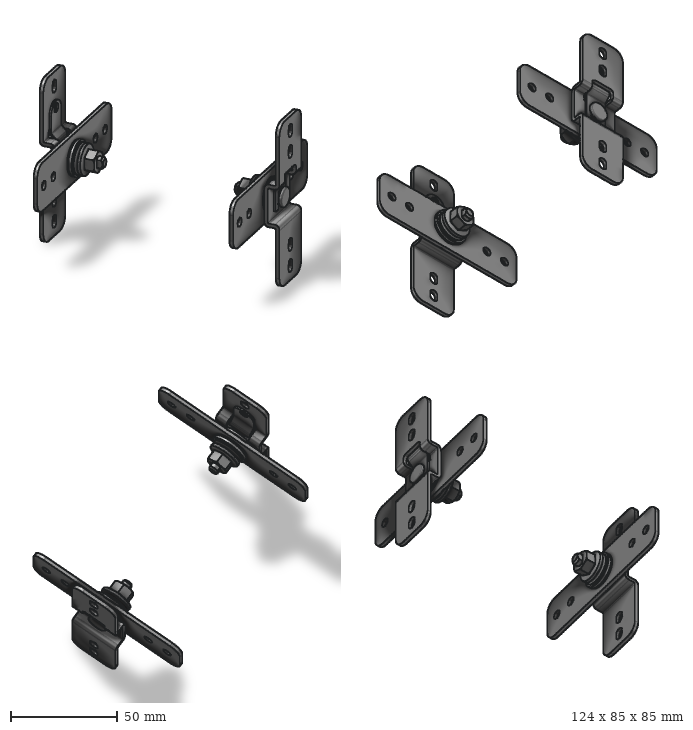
import cadquery as cq
import math

overall_length = 124.0
strip_length = 85.0
strip_width = 25.0
sheet = 2.0
corner_radius = 6.0
hole_diameter = 4.5
hole_positions = (-35.0, -24.0, 24.0, 35.0)

hat_depth = 7.9
hat_half_height = 11.0
outer_bend_radius = 2.5
inner_bend_radius = outer_bend_radius - sheet
bracket_slot_length = 6.5
window_width = 13.0
window_top = 15.1
window_shoulder = 6.1
window_corner_radius = 2.0
window_funnel_angle = math.radians(30)
web_inner_x = hat_depth - sheet

clip_sheet = 1.0
clip_width = 11.5
clip_arc_center_z = 22.0
clip_bottom = -5.8
clip_bend_z = 12.5
clip_foot_radius = 0.6
clip_inner_bend_radius = 0.5
clip_outer_bend_radius = clip_inner_bend_radius + clip_sheet
clip_web_x = web_inner_x - clip_sheet
clip_slope = math.radians(45)
clip_low_bend_z = clip_bend_z - (clip_web_x - sheet) / math.tan(clip_slope)

shank_radius = 3.0
head_radius = 5.0
head_start_x = 2.4
head_thickness = 1.6
head_fillet = 0.4
neck_radius = 4.0
tip_x = 28.0
tip_width = 4.3
tip_chamfer = 1.0

disc_radius = 9.0
pad_radius = 8.7
collar_width = 17.0
collar_x = 10.0
rear_disc_end_x = 9.3
plate_x = 10.4
front_pad_end_x = 13.1
front_disc_end_x = 14.9

washer_radius = 7.9
washer_edge_radius = 7.8
washer_root_radius = 5.1
washer_dish = 0.7
washer_rear_rim_end_x = 15.6
washer_front_rim_start_x = 17.2
nut_x = 19.6
nut_length = 5.2
nut_across_flats = 10.0
nut_chamfer = 0.56


def disc(radius, start_x, end_x):
    """Cylinder on the bolt axis between two X positions."""
    return cq.Workplane("YZ", origin=(start_x, 0, 0)).circle(radius).extrude(end_x - start_x)


def extrude_across(points, width):
    """Prism with an XZ outline, centred on Y = 0."""
    return cq.Workplane("XZ").polyline(points).close().extrude(width / 2, both=True)


def fillet_bends(body, points, radius):
    """Round the Y-direction edges that pass nearest to the given XZ points."""
    for x, z in points:
        body = body.edges("|Y").edges(cq.NearestToPointSelector((x, 0, z))).fillet(radius)
    return body


def make_bracket():
    """Hat-section strip with rounded ends, slotted legs and a clip window."""
    end_z = strip_length / 2
    inner_z = hat_half_height - sheet
    upper = [
        (0, end_z),
        (sheet, end_z),
        (sheet, hat_half_height),
        (hat_depth, hat_half_height),
    ]
    lower = [(x, -z) for x, z in reversed(upper)]
    inside = [(0, -inner_z), (web_inner_x, -inner_z), (web_inner_x, inner_z), (0, inner_z)]
    bracket = extrude_across(upper + lower + inside, strip_width)

    for side in (-1, 1):
        outer_bends = [(0, side * inner_z), (hat_depth, side * hat_half_height)]
        inner_bends = [(sheet, side * hat_half_height), (web_inner_x, side * inner_z)]
        bracket = fillet_bends(bracket, outer_bends, outer_bend_radius)
        bracket = fillet_bends(bracket, inner_bends, inner_bend_radius)
    bracket = bracket.edges("|X").edges("<Z or >Z").fillet(corner_radius)

    slots = (
        cq.Workplane("YZ")
        .pushPoints([(0, z) for z in hole_positions])
        .slot2D(bracket_slot_length, hole_diameter, 90)
        .extrude(sheet)
    )
    return bracket.cut(slots).cut(make_window())


def make_window():
    """Opening for the clip, narrowing through a funnel to a slot that seats the shank."""
    half_width = window_width / 2
    throat_z = window_shoulder - (half_width - shank_radius) * math.tan(window_funnel_angle)
    window = (
        cq.Workplane("YZ")
        .moveTo(-half_width, window_top)
        .lineTo(half_width, window_top)
        .lineTo(half_width, window_shoulder)
        .lineTo(shank_radius, throat_z)
        .lineTo(shank_radius, 0)
        .threePointArc((0, -shank_radius), (-shank_radius, 0))
        .lineTo(-shank_radius, throat_z)
        .lineTo(-half_width, window_shoulder)
        .close()
        .extrude(hat_depth)
    )
    return window.edges("|X and >Z").fillet(window_corner_radius)


def make_cross_plate():
    """Flat strip along Y with two round holes on each side of the bolt hole."""
    plate = (
        cq.Workplane("YZ", origin=(plate_x, 0, 0))
        .rect(strip_length, strip_width)
        .extrude(sheet)
        .edges("|X")
        .fillet(corner_radius)
    )
    return (
        plate.faces("<X")
        .workplane(origin=(plate_x, 0, 0))
        .pushPoints([(y, 0) for y in hole_positions])
        .hole(hole_diameter)
        .cut(disc(shank_radius, plate_x, plate_x + sheet))
    )


def make_clip():
    """Sheet clip: flat on the upper leg, sloped through the window, flat on the web."""
    bend_rise = clip_sheet * math.tan(clip_slope / 2)
    half_width = clip_width / 2
    top_z = clip_arc_center_z + half_width
    clip = extrude_across(
        [
            (sheet, top_z),
            (sheet + clip_sheet, top_z),
            (sheet + clip_sheet, clip_bend_z + bend_rise),
            (web_inner_x, clip_low_bend_z + bend_rise),
            (web_inner_x, clip_bottom),
            (clip_web_x, clip_bottom),
            (clip_web_x, clip_low_bend_z),
            (sheet, clip_bend_z),
        ],
        clip_width,
    )
    inner_bends = [(sheet + clip_sheet, clip_bend_z + bend_rise), (clip_web_x, clip_low_bend_z)]
    outer_bends = [(sheet, clip_bend_z), (web_inner_x, clip_low_bend_z + bend_rise)]
    clip = fillet_bends(clip, inner_bends, clip_inner_bend_radius)
    clip = fillet_bends(clip, outer_bends, clip_outer_bend_radius)

    round_top = (
        cq.Workplane("YZ")
        .moveTo(-half_width, clip_bottom)
        .lineTo(-half_width, clip_arc_center_z)
        .threePointArc((0, top_z), (half_width, clip_arc_center_z))
        .lineTo(half_width, clip_bottom)
        .close()
        .extrude(hat_depth)
    )
    hole = (
        cq.Workplane("YZ")
        .center(0, hole_positions[2])
        .circle(hole_diameter / 2)
        .extrude(hat_depth)
    )
    neck_slot = (
        cq.Workplane("YZ")
        .center(0, clip_bottom / 2)
        .rect(2 * shank_radius, -clip_bottom)
        .extrude(hat_depth)
    )
    clip = clip.intersect(round_top).cut(hole).cut(neck_slot)
    return clip.edges("|X and <Z").fillet(clip_foot_radius)


def flats_box(width):
    """Block around the whole bolt axis that trims a shape to the given Y width."""
    return cq.Workplane("XY").box(2 * tip_x, width, 2 * disc_radius)


def make_bolt():
    """Round head, flatted neck, plain shank and a chamfered tip with two flats."""
    head_end_x = head_start_x + head_thickness
    head = disc(head_radius, head_start_x, head_end_x).edges().fillet(head_fillet)
    neck = disc(neck_radius, head_end_x, web_inner_x).intersect(flats_box(2 * shank_radius))
    nut_end_x = nut_x + nut_length
    shank = disc(shank_radius, web_inner_x, nut_end_x)
    tip = disc(shank_radius, nut_end_x, tip_x).faces(">X").chamfer(tip_chamfer)
    tip = tip.intersect(flats_box(tip_width))
    return head.union(neck).union(shank).union(tip)


def collar(start_x, end_x):
    """Pad-sized disc with two shallow flats facing +Y and -Y."""
    return disc(pad_radius, start_x, end_x).intersect(flats_box(collar_width))


def make_damping_discs():
    """Disc, pad and collar on the rear of the cross plate, collar and disc on its front."""
    rear = disc(disc_radius, hat_depth, rear_disc_end_x)
    rear = rear.union(disc(pad_radius, rear_disc_end_x, collar_x)).union(collar(collar_x, plate_x))
    front = collar(plate_x + sheet, front_pad_end_x)
    front = front.union(disc(disc_radius, front_pad_end_x, front_disc_end_x))
    return rear.union(front)


def make_washer_pair():
    """Two dished washers with a V groove between them; the front one has a crowned rim."""
    front_rim_end_x = nut_x - washer_dish
    crown_x = (washer_front_rim_start_x + front_rim_end_x) / 2
    return (
        cq.Workplane("XY")
        .moveTo(front_disc_end_x, 0)
        .lineTo(front_disc_end_x, washer_radius)
        .lineTo(washer_rear_rim_end_x, washer_radius)
        .lineTo(washer_rear_rim_end_x + washer_dish, washer_root_radius)
        .lineTo(washer_front_rim_start_x - washer_dish, washer_root_radius)
        .lineTo(washer_front_rim_start_x, washer_edge_radius)
        .lineTo(crown_x, washer_radius)
        .lineTo(front_rim_end_x, washer_edge_radius)
        .lineTo(nut_x, washer_root_radius)
        .lineTo(nut_x, 0)
        .close()
        .revolve(360, (0, 0, 0), (1, 0, 0))
    )


def make_nut():
    """Hexagon nut with corners toward +Z and -Z and its outer end chamfered."""
    circumradius = nut_across_flats / math.sqrt(3)
    end_x = nut_x + nut_length
    hexagon = (
        cq.Workplane("YZ", origin=(nut_x, 0, 0))
        .transformed(rotate=(0, 0, 90))
        .polygon(6, 2 * circumradius)
        .extrude(nut_length)
    )
    cone = disc(circumradius, nut_x, end_x).faces(">X").chamfer(nut_chamfer)
    return hexagon.intersect(cone)


def make_fastener():
    """Bolt, clip, damping discs, washers and nut, joined into one body."""
    fastener = make_bolt()
    for piece in (make_clip(), make_damping_discs(), make_washer_pair(), make_nut()):
        fastener = fastener.union(piece)
    return fastener


hanger = [make_bracket(), make_cross_plate(), make_fastener()]
bodies = []
for turn in (0, 180):
    for body in hanger:
        placed = body.translate((-overall_length / 2, 0, 0)).rotate((0, 0, 0), (0, 0, 1), turn)
        bodies.extend(placed.vals())

result = cq.Compound.makeCompound(bodies)